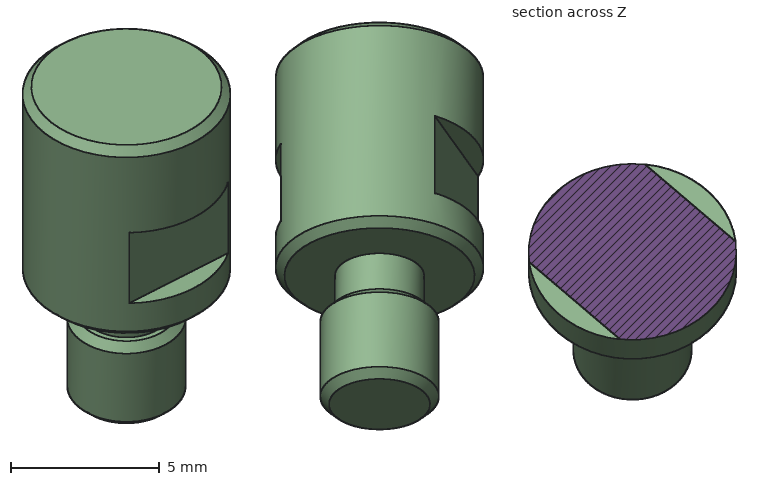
import cadquery as cq

head_diameter = 7.0
head_height = 8.0
neck_diameter = 3.0
neck_height = 1.5
stud_diameter = 4.0
stud_height = 3.5
edge_chamfer = 0.3

width_across_flats = 5.5
flat_height = 3.0
flat_offset = 1.5

neck_bottom = -neck_height
stud_bottom = neck_bottom - stud_height


def cylinder(diameter, height, bottom):
    return cq.Workplane("XY").workplane(offset=bottom).circle(diameter / 2).extrude(height)


def chamfered_cylinder(diameter, height, bottom):
    """Cylinder with both end edges chamfered."""
    return cylinder(diameter, height, bottom).edges("%CIRCLE").chamfer(edge_chamfer)


def flat_cutter(side):
    """Block that removes the head material outside one flat; side is -1 or +1."""
    depth = (head_diameter - width_across_flats) / 2
    center_x = side * (width_across_flats + depth) / 2
    return (
        cq.Workplane("XY")
        .workplane(offset=flat_offset)
        .center(center_x, 0)
        .rect(depth, head_diameter)
        .extrude(flat_height)
    )


head = chamfered_cylinder(head_diameter, head_height, 0)
for side in (-1, 1):
    head = head.cut(flat_cutter(side))

neck = cylinder(neck_diameter, neck_height, neck_bottom)
stud = chamfered_cylinder(stud_diameter, stud_height, stud_bottom)

result = head.union(neck).union(stud)